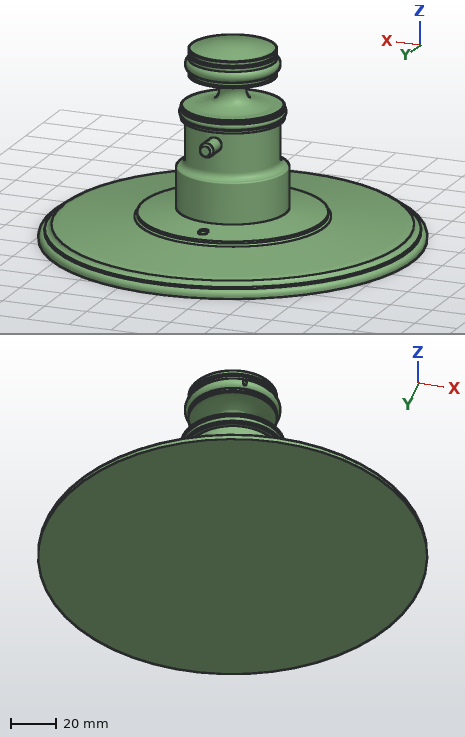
import cadquery as cq
import math


plate_radius = 85.7
rim_height = 1.2
rim_bead_radius = 83.2
rim_bead_height = 3.8
rim_step_height = 4.6
cove_top_radius = 79.9
cove_top_height = 6.7
shoulder_radius = 76.8
shoulder_height = 7.2

disc_radius = 43.4
disc_foot_height = 10.5
disc_lip_radius = 42.2
disc_lip_height = 12.5
disc_chamfer = 1.0

base_radius = 25.0
base_foot_height = 14.7
base_top = 34.0
base_round = 0.7
barrel_radius = 21.1
cove_radius = base_radius - base_round - barrel_radius

flange_bottom = 56.2
flange_top = 62.2
flange_radius = 23.0
flange_bead_radius = 23.7
flange_bead_bottom = 57.8
flange_bead_top = 60.4
flange_chamfer = 0.5

neck_waist_radius = 6.0
neck_break_radius = 9.0
neck_end_radius = 17.1
neck_half_waist = 5.1

knob_bottom = 76.1
knob_radius = 19.5
knob_bead_radius = 21.1
knob_bead_bottom = 78.5
knob_bead_top = 83.7
knob_lip_top = 77.0
knob_rim_top = 88.5
knob_rim_chamfer = 0.3
ring_bottom = 85.4
ring_top = 86.4
dome_radius = 17.5
dome_top = 91.0

groove_depth = 0.3

pin_height = 50.0
pin_radius = 3.3
pin_reach = 31.9
pin_end_length = 1.7
pin_end_radius = 2.4

knob_mark_width = 1.5
knob_mark_height = 3.1
knob_mark_depth = 0.5
plate_mark_radius = 2.0
plate_mark_tip = 36.5
plate_mark_length = 5.1
plate_mark_floor = 13.0

plate_cove_bulge = 0.5
flange_bead_bulge = flange_bead_radius - flange_radius
neck_waist_bulge = neck_break_radius - neck_waist_radius
knob_bead_bulge = knob_bead_radius - knob_radius


def level_arc_bulge(run, rise):
    """Bulge of an arc spanning run and rise that is level at one end."""
    arc_radius = (run ** 2 + rise ** 2) / (2 * rise)
    half_chord = math.hypot(run, rise) / 2
    return arc_radius - math.sqrt(arc_radius ** 2 - half_chord ** 2)




def add_plate(outline):
    rim_bead_bulge = level_arc_bulge(plate_radius - rim_bead_radius, rim_bead_height - rim_height)
    return (
        outline.lineTo(plate_radius, 0)
        .lineTo(plate_radius, rim_height)
        .sagittaArc((rim_bead_radius, rim_bead_height), -rim_bead_bulge)
        .lineTo(rim_bead_radius - groove_depth, rim_step_height)
        .sagittaArc((cove_top_radius, cove_top_height), plate_cove_bulge)
        .lineTo(shoulder_radius, shoulder_height)
        .lineTo(disc_radius, disc_foot_height)
        .lineTo(disc_lip_radius, disc_foot_height + disc_chamfer)
        .lineTo(disc_lip_radius, disc_lip_height)
        .lineTo(base_radius, base_foot_height)
    )


def add_body(outline):
    round_bulge = level_arc_bulge(base_round, base_round)
    cove_bulge = level_arc_bulge(cove_radius, cove_radius)
    return (
        outline.lineTo(base_radius, base_top - base_round)
        .sagittaArc((base_radius - base_round, base_top), -round_bulge)
        .sagittaArc((barrel_radius, base_top + cove_radius), cove_bulge)
        .lineTo(barrel_radius, flange_bottom)
    )


def add_flange(outline):
    groove_radius = flange_radius - groove_depth
    return (
        outline.lineTo(flange_radius, flange_bottom)
        .lineTo(flange_radius, flange_bead_bottom - groove_depth)
        .lineTo(groove_radius, flange_bead_bottom - groove_depth)
        .lineTo(groove_radius, flange_bead_bottom)
        .lineTo(flange_radius, flange_bead_bottom)
        .sagittaArc((flange_radius, flange_bead_top), -flange_bead_bulge)
        .lineTo(groove_radius, flange_bead_top)
        .lineTo(groove_radius, flange_bead_top + groove_depth)
        .lineTo(flange_radius, flange_bead_top + groove_depth)
        .lineTo(flange_radius, flange_top - flange_chamfer)
        .lineTo(flange_radius - flange_chamfer, flange_top)
    )


def add_neck(outline):
    neck_middle = (flange_top + knob_bottom) / 2
    lower_break = neck_middle - neck_half_waist
    upper_break = neck_middle + neck_half_waist
    flare_bulge = level_arc_bulge(neck_end_radius - neck_break_radius, lower_break - flange_top)
    return (
        outline.lineTo(neck_end_radius, flange_top)
        .sagittaArc((neck_break_radius, lower_break), flare_bulge)
        .sagittaArc((neck_break_radius, upper_break), neck_waist_bulge)
        .sagittaArc((neck_end_radius, knob_bottom), flare_bulge)
    )


def add_knob(outline):
    groove_radius = knob_radius - groove_depth
    dome_bulge = level_arc_bulge(dome_radius, dome_top - knob_rim_top)
    return (
        outline.lineTo(knob_radius, knob_bottom)
        .lineTo(knob_radius, knob_lip_top)
        .lineTo(groove_radius, knob_lip_top)
        .lineTo(groove_radius, knob_bead_bottom)
        .lineTo(knob_radius, knob_bead_bottom)
        .sagittaArc((knob_radius, knob_bead_top), -knob_bead_bulge)
        .lineTo(knob_radius, ring_bottom)
        .lineTo(groove_radius, ring_bottom)
        .lineTo(groove_radius, ring_top)
        .lineTo(knob_radius, ring_top)
        .lineTo(knob_radius, knob_rim_top - knob_rim_chamfer)
        .lineTo(knob_radius - knob_rim_chamfer, knob_rim_top)
        .lineTo(dome_radius, knob_rim_top)
        .sagittaArc((0, dome_top), -dome_bulge)
    )


def make_turned_body():
    outline = cq.Workplane("XZ")
    for add_stretch in (add_plate, add_body, add_flange, add_neck, add_knob):
        outline = add_stretch(outline)
    return outline.close().revolve(360, (0, 0, 0), (0, 1, 0))


def make_pin():
    """Round pin pointing to +Y, with a tapered end."""
    profile = (
        cq.Workplane("XY")
        .workplane(offset=pin_height)
        .lineTo(pin_radius, 0)
        .lineTo(pin_radius, pin_reach - pin_end_length)
        .lineTo(pin_end_radius, pin_reach)
        .lineTo(0, pin_reach)
        .close()
    )
    return profile.revolve(360, (0, 0, 0), (0, 1, 0))


def make_knob_mark():
    """Cutter for the upright oval recess in the knob bead."""
    floor = knob_bead_radius - knob_mark_depth
    return (
        cq.Workplane("XZ", origin=(0, -floor, (knob_bead_bottom + knob_bead_top) / 2))
        .ellipse(knob_mark_width / 2, knob_mark_height / 2)
        .extrude(knob_bead_radius)
    )


def make_plate_mark():
    """Cutter for the oblong recess in the raised disc."""
    centre = plate_mark_tip - plate_mark_length / 2
    return (
        cq.Workplane("XY", origin=(0, centre, plate_mark_floor))
        .slot2D(plate_mark_length, 2 * plate_mark_radius, 90)
        .extrude(base_foot_height - plate_mark_floor)
    )


result = make_turned_body().union(make_pin()).cut(make_knob_mark()).cut(make_plate_mark())